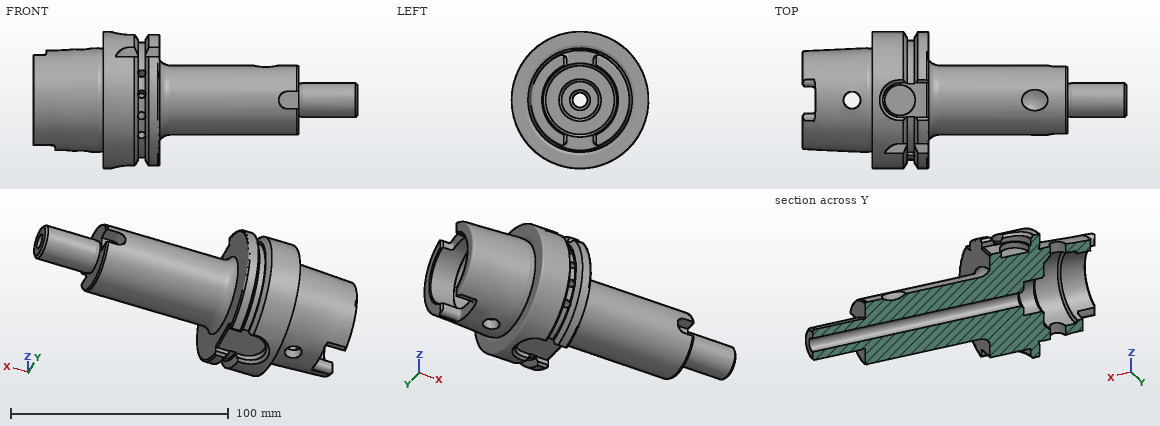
import cadquery as cq
import math


TOTAL_LENGTH = 149.0
TAPER_END_X = 29.7
FLANGE_X = 32.0
GROOVE_X = 49.8
FLANGE_END_X = 58.0
SHANK_END_X = 122.0

TAPER_TIP_RADIUS = 22.6
TAPER_END_RADIUS = 24.0
TAPER_TIP_ROUND = 1.0
NECK_RADIUS = 23.8
NECK_STEP = 1.0
NECK_END_X = 31.5
UNDERCUT_RADIUS = 23.5
FACE_RECESS_RADIUS = 25.5
FACE_RECESS_DEPTH = 0.6

FLANGE_RADIUS = 63.0 / 2
FLANGE_ROUND = 0.7
GROOVE_FLOOR_WIDTH = 3.1
GROOVE_FLOOR_RADIUS = 27.5
GROOVE_WALL_RADIUS = 28.6
GROOVE_MOUTH_WIDTH = 6.7

SHANK_RADIUS = 32.0 / 2
SHANK_FILLET = 6.0
SHANK_FILLET_LENGTH = 4.9
SHANK_CHAMFER_LENGTH = 0.9
SHANK_CHAMFER_DEPTH = 0.5
PILOT_RADIUS = 7.97
PILOT_CHAMFER = 1.0
PILOT_NECK_RADIUS = 7.7
PILOT_NECK_LENGTH = 1.0
PILOT_NECK_RAMP = 0.9

BORE_RADIUS = 17.0
BORE_CHAMFER = 0.6
BORE_STRAIGHT_DEPTH = 12.8
BORE_FLOOR_X = 29.8
BORE_FLOOR_RADIUS = 15.8
CLAMP_CAVITY_RADIUS = 18.5
CLAMP_SHOULDER_ANGLE = 60.0
RECESS_RADIUS = 8.5
RECESS_CHAMFER = 1.2
RECESS_DEPTH = 10.5
COOLANT_RADIUS = 6.7 / 2
COOLANT_CHAMFER = 1.3

DRIVE_SLOT_HALF_WIDTH = 6.1
TOP_SLOT_DEPTH = 6.0
BOTTOM_SLOT_DEPTH = 10.0
DRIVE_SLOT_CORNER_RADIUS = 1.3
DRIVE_SLOT_EDGE_RADIUS = 2.4
DRIVE_SLOT_LEAD_IN_LENGTH = 0.9
DRIVE_SLOT_LEAD_IN_WIDTH = 1.3

CROSS_HOLE_X = 22.8
CROSS_HOLE_RADIUS = 3.9

KEYWAY_CENTER_X = 44.8
KEYWAY_HALF_WIDTH = 7.9
KEYWAY_FLOOR_Z = 26.5
KEYWAY_RIM_CHAMFER = 1.5
KEYWAY_END_CHAMFER = 0.7
CHIP_POCKET_RADIUS = 7.0
CHIP_POCKET_DEPTH = 3.0
NOTCH_OFFSET = 20.0

BALANCE_HOLE_RADIUS = 1.8
BALANCE_HOLE_DEPTH = 14.0
BALANCE_HOLE_COUNT = 4
BALANCE_HOLE_FIRST_ANGLE = 26.4
BALANCE_HOLE_STEP_ANGLE = 20.7

DIMPLE_X = 106.8
DIMPLE_RADIUS = 6.0
DIMPLE_DEPTH = 2.0
SHANK_SLOT_HALF_WIDTH = 4.0
SHANK_SLOT_LENGTH = 9.2
SHANK_SLOT_FLOOR_Y = 9.4

OVERSHOOT = 1.5
CUTTER_REACH = 44.7


def turned_body():
    """Outside of the arbor as one revolved profile."""
    mouth_left = GROOVE_X - GROOVE_MOUTH_WIDTH / 2
    mouth_right = GROOVE_X + GROOVE_MOUTH_WIDTH / 2
    floor_left = GROOVE_X - GROOVE_FLOOR_WIDTH / 2
    floor_right = GROOVE_X + GROOVE_FLOOR_WIDTH / 2

    fillet_end_x = FLANGE_END_X + SHANK_FILLET_LENGTH
    fillet_sweep = math.asin(SHANK_FILLET_LENGTH / SHANK_FILLET)

    def fillet_point(angle):
        x = fillet_end_x - SHANK_FILLET * math.sin(angle)
        radius = SHANK_RADIUS + SHANK_FILLET * (1 - math.cos(angle))
        return (x, radius)

    pilot_neck_x = SHANK_END_X + PILOT_NECK_LENGTH

    profile = (
        cq.Workplane("XY")
        .moveTo(0, 0)
        .lineTo(0, TAPER_TIP_RADIUS - TAPER_TIP_ROUND)
        .radiusArc((TAPER_TIP_ROUND, TAPER_TIP_RADIUS), TAPER_TIP_ROUND)
        .lineTo(TAPER_END_X, TAPER_END_RADIUS)
        .lineTo(TAPER_END_X + NECK_STEP, NECK_RADIUS)
        .lineTo(NECK_END_X, NECK_RADIUS)
        .lineTo(FLANGE_X + FACE_RECESS_DEPTH, UNDERCUT_RADIUS)
        .lineTo(FLANGE_X, FACE_RECESS_RADIUS)
        .lineTo(FLANGE_X, FLANGE_RADIUS - FLANGE_ROUND)
        .radiusArc((FLANGE_X + FLANGE_ROUND, FLANGE_RADIUS), FLANGE_ROUND)
        .lineTo(mouth_left, FLANGE_RADIUS)
        .lineTo(floor_left, GROOVE_WALL_RADIUS)
        .lineTo(floor_left, GROOVE_FLOOR_RADIUS)
        .lineTo(floor_right, GROOVE_FLOOR_RADIUS)
        .lineTo(floor_right, GROOVE_WALL_RADIUS)
        .lineTo(mouth_right, FLANGE_RADIUS)
        .lineTo(FLANGE_END_X - FLANGE_ROUND, FLANGE_RADIUS)
        .radiusArc((FLANGE_END_X, FLANGE_RADIUS - FLANGE_ROUND), FLANGE_ROUND)
        .lineTo(*fillet_point(fillet_sweep))
        .threePointArc(fillet_point(fillet_sweep / 2), fillet_point(0))
        .lineTo(SHANK_END_X - SHANK_CHAMFER_LENGTH, SHANK_RADIUS)
        .lineTo(SHANK_END_X, SHANK_RADIUS - SHANK_CHAMFER_DEPTH)
        .lineTo(SHANK_END_X, PILOT_NECK_RADIUS)
        .lineTo(pilot_neck_x, PILOT_NECK_RADIUS)
        .lineTo(pilot_neck_x + PILOT_NECK_RAMP, PILOT_RADIUS)
        .lineTo(TOTAL_LENGTH - PILOT_CHAMFER, PILOT_RADIUS)
        .lineTo(TOTAL_LENGTH, PILOT_RADIUS - PILOT_CHAMFER)
        .lineTo(TOTAL_LENGTH, 0)
        .close()
    )
    return profile.revolve(360, (0, 0, 0), (1, 0, 0))


def bores():
    """Taper bore with a wider clamping cavity, recess in its floor and coolant hole through the whole length."""
    shoulder_length = (CLAMP_CAVITY_RADIUS - BORE_RADIUS) / math.tan(math.radians(CLAMP_SHOULDER_ANGLE))
    floor_bevel = CLAMP_CAVITY_RADIUS - BORE_FLOOR_RADIUS
    recess_floor_x = BORE_FLOOR_X + RECESS_DEPTH
    profile = (
        cq.Workplane("XY")
        .moveTo(0, 0)
        .lineTo(0, BORE_RADIUS + BORE_CHAMFER)
        .lineTo(BORE_CHAMFER, BORE_RADIUS)
        .lineTo(BORE_STRAIGHT_DEPTH, BORE_RADIUS)
        .lineTo(BORE_STRAIGHT_DEPTH + shoulder_length, CLAMP_CAVITY_RADIUS)
        .lineTo(BORE_FLOOR_X - floor_bevel, CLAMP_CAVITY_RADIUS)
        .lineTo(BORE_FLOOR_X, BORE_FLOOR_RADIUS)
        .lineTo(BORE_FLOOR_X, RECESS_RADIUS + RECESS_CHAMFER)
        .lineTo(BORE_FLOOR_X + RECESS_CHAMFER, RECESS_RADIUS)
        .lineTo(recess_floor_x, RECESS_RADIUS)
        .lineTo(recess_floor_x, COOLANT_RADIUS + COOLANT_CHAMFER)
        .lineTo(recess_floor_x + COOLANT_CHAMFER, COOLANT_RADIUS)
        .lineTo(TOTAL_LENGTH, COOLANT_RADIUS)
        .lineTo(TOTAL_LENGTH, 0)
        .close()
    )
    return profile.revolve(360, (0, 0, 0), (1, 0, 0))


def drive_slot(depth):
    """Cutter for a +Z drive slot whose mouth rounds over into the taper surface."""
    round_y = DRIVE_SLOT_HALF_WIDTH + DRIVE_SLOT_EDGE_RADIUS
    round_z = math.sqrt((TAPER_TIP_RADIUS - DRIVE_SLOT_EDGE_RADIUS) ** 2 - round_y**2)
    tangent_angle = math.atan2(round_z, round_y)

    def round_point(angle):
        y = round_y + DRIVE_SLOT_EDGE_RADIUS * math.cos(angle)
        z = round_z + DRIVE_SLOT_EDGE_RADIUS * math.sin(angle)
        return (y, z)

    tangent_point = round_point(tangent_angle)
    middle_point = round_point((tangent_angle + math.pi) / 2)
    outer_point = (CUTTER_REACH * math.cos(tangent_angle), CUTTER_REACH * math.sin(tangent_angle))

    def mirrored(point):
        return (-point[0], point[1])

    slot = (
        cq.Workplane("YZ")
        .moveTo(-DRIVE_SLOT_HALF_WIDTH, 0)
        .lineTo(DRIVE_SLOT_HALF_WIDTH, 0)
        .lineTo(DRIVE_SLOT_HALF_WIDTH, round_z)
        .threePointArc(middle_point, tangent_point)
        .lineTo(*outer_point)
        .lineTo(*mirrored(outer_point))
        .lineTo(*mirrored(tangent_point))
        .threePointArc(mirrored(middle_point), (-DRIVE_SLOT_HALF_WIDTH, round_z))
        .close()
        .extrude(depth)
    )
    for side in (1, -1):
        corner = (depth, side * DRIVE_SLOT_HALF_WIDTH, round_z / 2)
        slot = slot.edges(cq.NearestToPointSelector(corner)).fillet(DRIVE_SLOT_CORNER_RADIUS)

    lead_in_half_width = DRIVE_SLOT_HALF_WIDTH + DRIVE_SLOT_LEAD_IN_WIDTH
    lead_in = (
        cq.Workplane("XY")
        .moveTo(0, -lead_in_half_width)
        .lineTo(DRIVE_SLOT_LEAD_IN_LENGTH, -DRIVE_SLOT_HALF_WIDTH)
        .lineTo(DRIVE_SLOT_LEAD_IN_LENGTH, DRIVE_SLOT_HALF_WIDTH)
        .lineTo(0, lead_in_half_width)
        .close()
        .extrude(CUTTER_REACH)
    )
    return slot.union(lead_in)


def flip_to_bottom(cutter):
    """Turn a +Z cutter half a turn about the X axis."""
    return cutter.rotate((0, 0, 0), (1, 0, 0), 180)


def round_ended_slot(center_y, half_width, floor_z, height):
    """Slot running in +X out of the flange from a round end at the keyway centre."""
    return (
        cq.Workplane("XY")
        .workplane(offset=floor_z)
        .moveTo(FLANGE_END_X + OVERSHOOT, center_y - half_width)
        .lineTo(KEYWAY_CENTER_X, center_y - half_width)
        .threePointArc((KEYWAY_CENTER_X - half_width, center_y), (KEYWAY_CENTER_X, center_y + half_width))
        .lineTo(FLANGE_END_X + OVERSHOOT, center_y + half_width)
        .close()
        .extrude(height)
    )


def keyway():
    """Round-ended keyway with a chamfered rim and a chamfer where its floor meets the flange end."""
    straight = round_ended_slot(0, KEYWAY_HALF_WIDTH, KEYWAY_FLOOR_Z, CUTTER_REACH)
    blank = (
        cq.Workplane("YZ", origin=(FLANGE_X, 0, 0))
        .circle(FLANGE_RADIUS)
        .extrude(FLANGE_END_X + OVERSHOOT - FLANGE_X)
    )
    rim_end = (KEYWAY_CENTER_X - KEYWAY_HALF_WIDTH, 0, FLANGE_RADIUS)
    chamfered = blank.cut(straight).edges(cq.NearestToPointSelector(rim_end)).chamfer(KEYWAY_RIM_CHAMFER)
    end_chamfer = (
        cq.Workplane("XZ")
        .moveTo(FLANGE_END_X, KEYWAY_FLOOR_Z - KEYWAY_END_CHAMFER)
        .lineTo(FLANGE_END_X, KEYWAY_FLOOR_Z)
        .lineTo(FLANGE_END_X - KEYWAY_END_CHAMFER, KEYWAY_FLOOR_Z)
        .close()
        .extrude(KEYWAY_HALF_WIDTH, both=True)
    )
    return blank.cut(chamfered).union(end_chamfer)


def chip_pocket():
    """Round pocket in the floor of the upper keyway."""
    return (
        cq.Workplane("XY")
        .workplane(offset=KEYWAY_FLOOR_Z - CHIP_POCKET_DEPTH)
        .center(KEYWAY_CENTER_X, 0)
        .circle(CHIP_POCKET_RADIUS)
        .extrude(CHIP_POCKET_DEPTH + OVERSHOOT)
    )


def orientation_notch():
    """Corner notch in the -Y, +Z quarter of the flange."""
    center_y = -NOTCH_OFFSET - KEYWAY_HALF_WIDTH
    return round_ended_slot(center_y, KEYWAY_HALF_WIDTH, NOTCH_OFFSET, CUTTER_REACH)


def balance_holes():
    """Radial blind holes in the groove floor."""
    holes = cq.Workplane("XY")
    inner_radius = GROOVE_FLOOR_RADIUS - BALANCE_HOLE_DEPTH
    for index in range(BALANCE_HOLE_COUNT):
        angle = math.radians(BALANCE_HOLE_FIRST_ANGLE - index * BALANCE_HOLE_STEP_ANGLE)
        outward = cq.Vector(0, -math.cos(angle), math.sin(angle))
        start = cq.Vector(GROOVE_X, 0, 0) + outward * inner_radius
        length = GROOVE_WALL_RADIUS - inner_radius
        holes = holes.add(cq.Solid.makeCylinder(BALANCE_HOLE_RADIUS, length, start, outward))
    return holes.combine()


def cross_hole():
    """Hole along Z through both walls of the taper."""
    return (
        cq.Workplane("XY")
        .center(CROSS_HOLE_X, 0)
        .circle(CROSS_HOLE_RADIUS)
        .extrude(CUTTER_REACH, both=True)
    )


def dimple():
    """Spherical dimple on top of the shank."""
    sphere_radius = (DIMPLE_RADIUS**2 + DIMPLE_DEPTH**2) / (2 * DIMPLE_DEPTH)
    center_z = SHANK_RADIUS - DIMPLE_DEPTH + sphere_radius
    return cq.Workplane("XY").sphere(sphere_radius).translate((DIMPLE_X, 0, center_z))


def shank_slot():
    """Round-ended driving slot on the -Y side, open at the end of the shank."""
    round_x = SHANK_END_X - SHANK_SLOT_LENGTH + SHANK_SLOT_HALF_WIDTH
    return (
        cq.Workplane("XZ", origin=(0, -SHANK_SLOT_FLOOR_Y, 0))
        .moveTo(SHANK_END_X, SHANK_SLOT_HALF_WIDTH)
        .lineTo(round_x, SHANK_SLOT_HALF_WIDTH)
        .threePointArc((round_x - SHANK_SLOT_HALF_WIDTH, 0), (round_x, -SHANK_SLOT_HALF_WIDTH))
        .lineTo(SHANK_END_X, -SHANK_SLOT_HALF_WIDTH)
        .close()
        .extrude(SHANK_RADIUS)
    )


result = turned_body().cut(bores())
result = result.cut(drive_slot(TOP_SLOT_DEPTH)).cut(flip_to_bottom(drive_slot(BOTTOM_SLOT_DEPTH)))
result = result.cut(cross_hole())
result = result.cut(keyway()).cut(flip_to_bottom(keyway())).cut(chip_pocket())
result = result.cut(orientation_notch())
result = result.cut(balance_holes())
result = result.cut(dimple())
result = result.cut(shank_slot()).cut(shank_slot().mirror("XZ"))